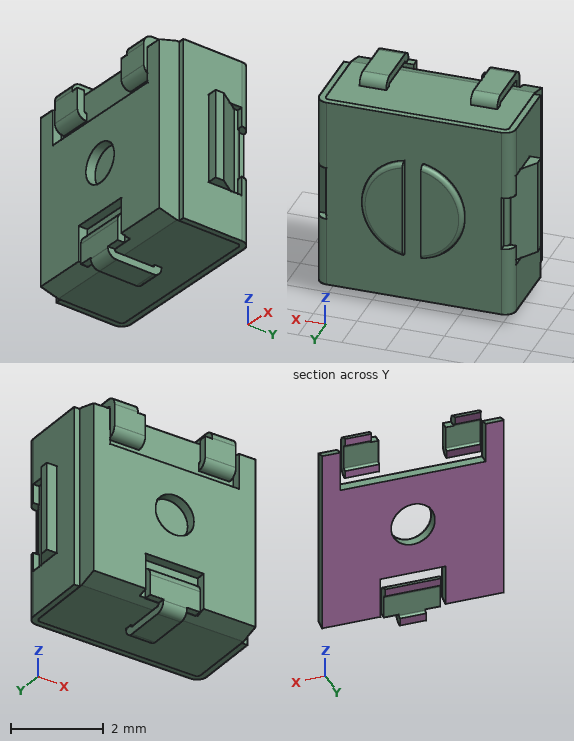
import cadquery as cq


case_width = 4.5
case_height = 4.5
cover_back = 2.38
cover_front = 0.54
sheet = 0.15
corner_radius = 0.25
corner_notch_height = 1.26

rotor_diameter = 2.34
rotor_height = 0.15
rotor_round = 0.1
slot_width = 0.425

base_width = case_width - 2 * sheet
base_back = cover_back - sheet
bevel_depth = 0.47
bevel_height = 0.13
hole_diameter = 1.0
hole_depth = 0.25

catch_span = 5.0
catch_height = 2.2
catch_front = 1.225
catch_crest = 1.445
catch_back = 2.04

terminal_reach = 2.5
terminal_front = -0.02
terminal_back = 1.44
strip = 0.19
bend_radius = 0.23
inside_bend_radius = 0.05
leg_width = 0.61
foot_length = 0.75
upper_outer_edge = 1.575
upper_foot_width = 0.8
lower_foot_width = 1.3

pocket_floor = 0.235
pocket_length = 1.02
pocket_clearance = 0.1

half_height = case_height / 2
foot_end = half_height - foot_length


def box(x_range, y_range, z_range):
    """Axis-aligned box between the given pairs of limits."""
    (x0, x1), (y0, y1), (z0, z1) = x_range, y_range, z_range
    return cq.Workplane("XY").box(x1 - x0, y1 - y0, z1 - z0, centered=False).translate((x0, y0, z0))


def centred(length):
    """Limits of a length centred on zero."""
    return (-length / 2, length / 2)


def block(width, front, back, radius):
    """Full-height block whose two back corners are rounded."""
    body = box(centred(width), (front, back), centred(case_height))
    return body.edges("|Z and >Y").fillet(radius)


def both_sides(right_half):
    """The shape together with its mirror image across X = 0."""
    return right_half.union(right_half.mirror("YZ"))


def make_catches():
    """Sloped catches on both sides of the base."""
    root = base_width / 2
    tip = catch_span / 2
    profile = [
        (root - sheet, catch_front),
        (tip, catch_front),
        (tip, catch_crest),
        (root, catch_back),
        (root - sheet, catch_back),
    ]
    catch = cq.Workplane("XY").polyline(profile).close().extrude(catch_height / 2, both=True)
    return both_sides(catch)


def make_base():
    body = block(base_width, 0, base_back, corner_radius - sheet)

    bevel = (
        cq.Workplane("YZ")
        .polyline([(0, half_height - bevel_height), (bevel_depth, half_height), (0, half_height)])
        .close()
        .extrude(base_width / 2, both=True)
    )
    body = body.cut(bevel).cut(bevel.mirror("XY"))

    upper_width = 2 * (upper_outer_edge + pocket_clearance)
    lower_width = lower_foot_width + 2 * pocket_clearance
    pocket_end = half_height - pocket_length
    body = body.cut(box(centred(upper_width), (0, pocket_floor), (pocket_end, half_height)))
    body = body.cut(box(centred(lower_width), (0, pocket_floor), (-half_height, -pocket_end)))

    hole = cq.Workplane("XZ").circle(hole_diameter / 2).extrude(-hole_depth)
    return body.cut(hole).union(make_catches())


def make_rotor_head():
    """Round-edged disc split by a screwdriver slot down to the cover."""
    disc = cq.Workplane("XZ", origin=(0, cover_back, 0)).circle(rotor_diameter / 2).extrude(-rotor_height)
    disc = disc.faces(">Y").edges().fillet(rotor_round)
    slot = box(centred(slot_width), (cover_back, cover_back + rotor_height), centred(rotor_diameter))
    return disc.cut(slot)


def make_cover():
    shell = block(case_width, cover_front, cover_back, corner_radius)
    shell = shell.cut(block(base_width, cover_front, base_back, corner_radius - sheet))

    outside = case_width / 2
    bend_start = cover_back - corner_radius
    window = box((base_width / 2, outside), (catch_front, bend_start), centred(catch_height))
    notch = box(
        (outside - corner_radius, outside), (bend_start, cover_back), centred(corner_notch_height)
    )
    return shell.cut(both_sides(window.union(notch))).union(make_rotor_head())


def make_terminal(leg_left, foot_left, foot_width):
    """Terminal on the upper end: a narrow leg outside the case and a wide foot over the pocket."""
    leg_right = leg_left + leg_width
    foot_right = foot_left + foot_width
    left = min(leg_left, foot_left)
    right = max(leg_right, foot_right)

    outer = box((left, right), (terminal_front, terminal_back), (foot_end, terminal_reach))
    outer = outer.edges("|X and (>Z or <Y)").fillet(bend_radius)
    inner = box(
        (left, right),
        (terminal_front + strip, terminal_back - strip),
        (foot_end + strip, terminal_reach - strip),
    ).edges("|X").fillet(inside_bend_radius)
    strip_loop = outer.cut(inner)

    leg = box((leg_left, leg_right), (terminal_front, terminal_back), (half_height, terminal_reach))
    foot = box((foot_left, foot_right), (terminal_front, pocket_floor), (foot_end, half_height))
    return strip_loop.intersect(leg.union(foot))


def make_terminals():
    upper = make_terminal(-upper_outer_edge, -upper_outer_edge, upper_foot_width)
    lower = make_terminal(-leg_width / 2, -lower_foot_width / 2, lower_foot_width)
    return [upper, upper.mirror("YZ"), lower.mirror("XY")]


base = make_base()
cover = make_cover()
terminals = make_terminals()

result = cq.Compound.makeCompound(
    [base.val(), cover.val(), *[terminal.val() for terminal in terminals]]
)